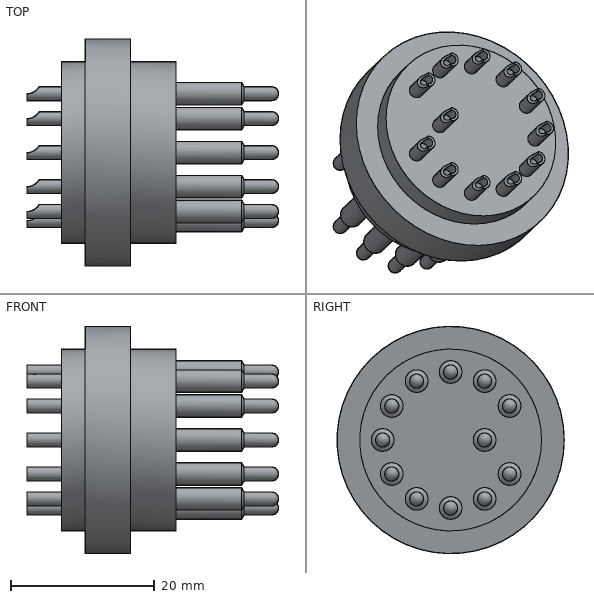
import cadquery as cq
import math


body_diameter = 25.4
flange_diameter = 31.75
rear_boss_length = 3.3
flange_length = 6.35
front_boss_length = 6.35
front_face_x = rear_boss_length + flange_length + front_boss_length

overall_length = 35.18
pin_diameter = 1.97
pin_radius = pin_diameter / 2
rear_pin_length = 4.82
pin_tip_x = overall_length - rear_pin_length

sleeve_diameter = 3.15
sleeve_length = 9.15
sleeve_end_x = front_face_x + sleeve_length
sleeve_taper_length = 0.35

cup_diameter = 1.25
cup_radius = cup_diameter / 2
cup_depth = 2.1
cup_point_angle = 118.0
cup_point_length = cup_radius / math.tan(math.radians(cup_point_angle / 2))
scallop_length = 1.72

pin_circle_radius = 9.5
circle_positions = 12
key_pin_offset = pin_circle_radius / 2


def cylinder(diameter, start_x, length):
    """Solid cylinder on the connector axis."""
    return cq.Workplane("YZ", origin=(start_x, 0, 0)).circle(diameter / 2).extrude(length)


def make_body():
    core = cylinder(body_diameter, 0, front_face_x)
    flange = cylinder(flange_diameter, rear_boss_length, flange_length)
    return core.union(flange)


def make_pin_blank():
    """Pin with its sleeve, taper and round tip, revolved about the X axis."""
    dome_start_x = pin_tip_x - pin_radius
    dome_middle = (
        dome_start_x + pin_radius * math.cos(math.pi / 4),
        pin_radius * math.sin(math.pi / 4),
    )
    profile = (
        cq.Workplane("XY")
        .moveTo(-rear_pin_length, 0)
        .lineTo(-rear_pin_length, pin_radius)
        .lineTo(0, pin_radius)
        .lineTo(0, sleeve_diameter / 2)
        .lineTo(sleeve_end_x, sleeve_diameter / 2)
        .lineTo(sleeve_end_x + sleeve_taper_length, pin_radius)
        .lineTo(dome_start_x, pin_radius)
        .threePointArc(dome_middle, (pin_tip_x, 0))
        .close()
    )
    return profile.revolve(360, (0, 0, 0), (1, 0, 0))


def make_solder_cup():
    """Drilled hole with a conical bottom, opening at the rear end of the pin."""
    profile = (
        cq.Workplane("XY")
        .moveTo(-rear_pin_length, 0)
        .lineTo(-rear_pin_length, cup_radius)
        .lineTo(-rear_pin_length + cup_depth, cup_radius)
        .lineTo(-rear_pin_length + cup_depth + cup_point_length, 0)
        .close()
    )
    return profile.revolve(360, (0, 0, 0), (1, 0, 0))


def make_scallop():
    """Round cutter that opens the +Y half of the cup and just reaches the pin axis."""
    scallop_radius = (scallop_length**2 + pin_radius**2) / pin_diameter
    return (
        cq.Workplane("XY")
        .center(-rear_pin_length, scallop_radius)
        .circle(scallop_radius)
        .extrude(pin_diameter, both=True)
    )


def pin_positions():
    """(Y, Z) centres of all pins, the key pin first."""
    positions = [(key_pin_offset, 0)]
    for index in range(1, circle_positions):
        angle = 2 * math.pi * index / circle_positions
        positions.append((pin_circle_radius * math.cos(angle), pin_circle_radius * math.sin(angle)))
    return positions


pin = make_pin_blank().cut(make_solder_cup()).cut(make_scallop())

result = make_body()
for pin_y, pin_z in pin_positions():
    result = result.union(pin.translate((0, pin_y, pin_z)))